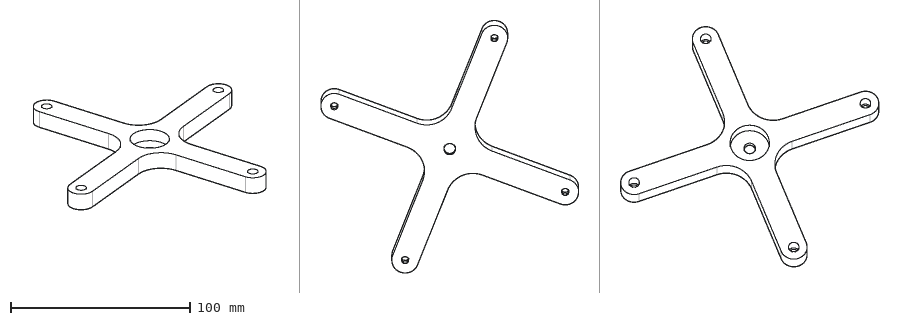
import cadquery as cq

span = 153.0
thickness = 10.0
arm_width = 15.0
inner_fillet_radius = 15.0

hub_bore_diameter = 6.5
hub_pocket_diameter = 21.9
hub_pocket_depth = 7.0

tip_hole_diameter = 4.0
tip_pocket_diameter = 5.8
tip_pocket_depth = 7.0

tip_radius = arm_width / 2
tip_distance = span / 2 - tip_radius
tip_centers = [
    (tip_distance, 0),
    (0, tip_distance),
    (-tip_distance, 0),
    (0, -tip_distance),
]


def make_arm_pair(angle):
    """Full-length bar with rounded ends, turned about Z."""
    return cq.Workplane("XY").slot2D(span, arm_width, angle).extrude(thickness)


def make_cross():
    """Two crossed bars with the four inner corners rounded."""
    cross = make_arm_pair(0).union(make_arm_pair(90))
    corner = arm_width / 2
    selection_margin = 0.2
    reach = corner + selection_margin
    corner_edges = cq.selectors.BoxSelector(
        (-reach, -reach, 0), (reach, reach, thickness)
    )
    return cross.edges("|Z").edges(corner_edges).fillet(inner_fillet_radius)


def cut_counterbores(body, centers, hole_diameter, pocket_diameter, pocket_depth):
    """Through holes with flat-bottomed pockets sunk from the top face."""
    top = cq.Workplane("XY", origin=(0, 0, thickness)).pushPoints(centers)
    holes = top.circle(hole_diameter / 2).extrude(-thickness)
    pockets = top.circle(pocket_diameter / 2).extrude(-pocket_depth)
    return body.cut(holes).cut(pockets)


result = make_cross()
result = cut_counterbores(
    result, [(0, 0)], hub_bore_diameter, hub_pocket_diameter, hub_pocket_depth
)
result = cut_counterbores(
    result, tip_centers, tip_hole_diameter, tip_pocket_diameter, tip_pocket_depth
)